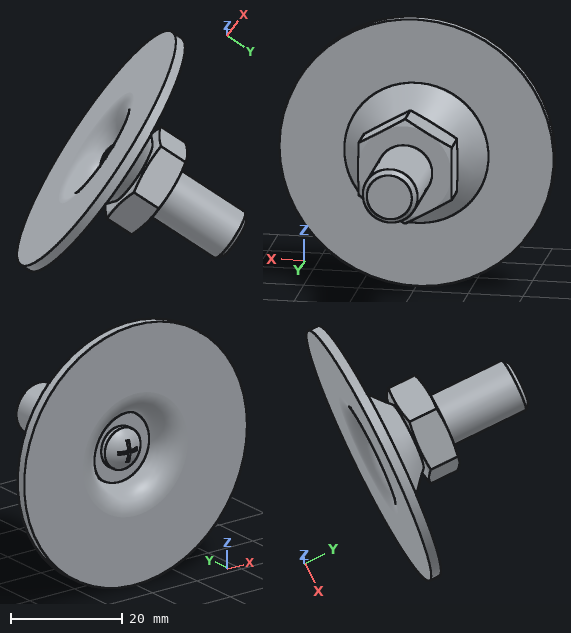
import cadquery as cq
import math

TOTAL_LENGTH = 30.0
FLANGE_RADIUS = 25.0
FLANGE_THICKNESS = 2.0

HUB_BASE_RADIUS = 13.15
HUB_TOP_RADIUS = 6.8
HUB_TOP_Y = 7.45
NUT_START_Y = 7.85
HUB_END_RADIUS = HUB_TOP_RADIUS - (NUT_START_Y - HUB_TOP_Y)

NUT_END_Y = 14.0
NUT_ACROSS_FLATS = 17.0
NUT_CHAMFER_ANGLE = 15.0

STUD_RADIUS = 5.0
STUD_CHAMFER = 0.9

RECESS_DEPTH = 5.0
RECESS_FLOOR_RADIUS = 6.75
LIP_RADIUS = RECESS_DEPTH

HEAD_RADIUS = 4.0
HEAD_RIM_Y = 3.9
HEAD_APEX_Y = 1.9
CROSS_LENGTH = 4.1
CROSS_WIDTH = 0.5
CROSS_DEPTH = 1.0


def revolve_about_y(profile):
    return profile.close().revolve(360, (0, 0, 0), (0, 1, 0))


def make_body():
    """Flange, hub and stud as one turned shape."""
    return revolve_about_y(
        cq.Workplane("XY")
        .lineTo(FLANGE_RADIUS, 0)
        .lineTo(FLANGE_RADIUS, FLANGE_THICKNESS)
        .lineTo(HUB_BASE_RADIUS, FLANGE_THICKNESS)
        .lineTo(HUB_TOP_RADIUS, HUB_TOP_Y)
        .lineTo(HUB_END_RADIUS, NUT_START_Y)
        .lineTo(STUD_RADIUS, NUT_START_Y)
        .lineTo(STUD_RADIUS, TOTAL_LENGTH - STUD_CHAMFER)
        .lineTo(STUD_RADIUS - STUD_CHAMFER, TOTAL_LENGTH)
        .lineTo(0, TOTAL_LENGTH)
    )


def make_nut():
    """Hexagon with flats facing +X and -X, its corners trimmed by a cone at both ends."""
    corner_radius = NUT_ACROSS_FLATS / 2 / math.cos(math.radians(30))
    end_radius = NUT_ACROSS_FLATS / 2
    chamfer = (corner_radius - end_radius) * math.tan(math.radians(NUT_CHAMFER_ANGLE))
    corners = [
        (
            corner_radius * math.sin(math.radians(60 * i)),
            corner_radius * math.cos(math.radians(60 * i)),
        )
        for i in range(6)
    ]
    hexagon = (
        cq.Workplane("XZ", origin=(0, NUT_START_Y, 0))
        .polyline(corners)
        .close()
        .extrude(NUT_START_Y - NUT_END_Y)
    )
    envelope = revolve_about_y(
        cq.Workplane("XY")
        .moveTo(0, NUT_START_Y)
        .lineTo(end_radius, NUT_START_Y)
        .lineTo(corner_radius, NUT_START_Y + chamfer)
        .lineTo(corner_radius, NUT_END_Y - chamfer)
        .lineTo(end_radius, NUT_END_Y)
        .lineTo(0, NUT_END_Y)
    )
    return hexagon.intersect(envelope)


def make_recess():
    """Void whose side wall turns from the flange face to the axial direction."""
    lip_centre_radius = RECESS_FLOOR_RADIUS + LIP_RADIUS
    arc_offset = LIP_RADIUS * math.sin(math.radians(45))
    return revolve_about_y(
        cq.Workplane("XY")
        .lineTo(lip_centre_radius, 0)
        .threePointArc(
            (lip_centre_radius - arc_offset, LIP_RADIUS - arc_offset),
            (RECESS_FLOOR_RADIUS, RECESS_DEPTH),
        )
        .lineTo(0, RECESS_DEPTH)
    )


def make_screw_head():
    """Short cylinder under a spherical cap, with a cross slot in the cap."""
    cap_height = HEAD_RIM_Y - HEAD_APEX_Y
    sphere_radius = (HEAD_RADIUS**2 + cap_height**2) / (2 * cap_height)
    mid_radius = HEAD_RADIUS / 2
    mid_y = HEAD_APEX_Y + sphere_radius - math.sqrt(sphere_radius**2 - mid_radius**2)
    head = revolve_about_y(
        cq.Workplane("XY")
        .moveTo(0, HEAD_APEX_Y)
        .threePointArc((mid_radius, mid_y), (HEAD_RADIUS, HEAD_RIM_Y))
        .lineTo(HEAD_RADIUS, RECESS_DEPTH)
        .lineTo(0, RECESS_DEPTH)
    )
    slot_bottom_y = HEAD_APEX_Y + CROSS_DEPTH
    for size_x, size_z in ((CROSS_LENGTH, CROSS_WIDTH), (CROSS_WIDTH, CROSS_LENGTH)):
        slot = cq.Workplane("XZ", origin=(0, slot_bottom_y, 0)).rect(size_x, size_z).extrude(slot_bottom_y)
        head = head.cut(slot)
    return head


result = make_body().union(make_nut()).cut(make_recess()).union(make_screw_head())